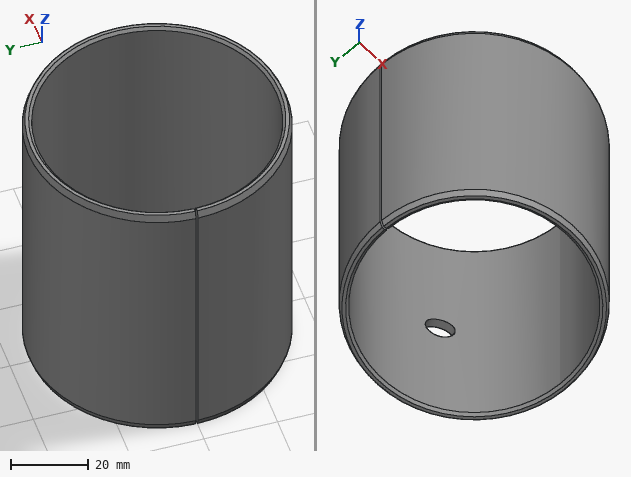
import cadquery as cq
import math

length = 80
outer_diameter = 70.0
wall = 2.5
outer_radius = outer_diameter / 2
inner_radius = outer_radius - wall

outer_chamfer_length = 2.0
outer_chamfer_angle = 20
outer_chamfer_depth = outer_chamfer_length * math.tan(math.radians(outer_chamfer_angle))
inner_chamfer = 0.8

split_width = 0.6

oil_hole_diameter = 8
oil_hole_angle = 59


def make_sleeve():
    """Revolve the wall section, with its four chamfered corners, about Z."""
    section = (
        cq.Workplane("XZ")
        .moveTo(inner_radius + inner_chamfer, 0)
        .lineTo(outer_radius - outer_chamfer_depth, 0)
        .lineTo(outer_radius, outer_chamfer_length)
        .lineTo(outer_radius, length - outer_chamfer_length)
        .lineTo(outer_radius - outer_chamfer_depth, length)
        .lineTo(inner_radius + inner_chamfer, length)
        .lineTo(inner_radius, length - inner_chamfer)
        .lineTo(inner_radius, inner_chamfer)
        .close()
    )
    return section.revolve(360, (0, 0, 0), (0, 1, 0))


def make_split():
    """Thin full-length slab, resting on the XZ plane, that parts the wall on the -X side."""
    return cq.Workplane("XY").box(
        outer_diameter, split_width, length, centered=(True, False, False)
    ).translate((-outer_radius, 0, 0))


def make_oil_hole():
    """Cylinder from the axis outward through one side of the wall."""
    return (
        cq.Workplane("YZ")
        .center(0, length / 2)
        .circle(oil_hole_diameter / 2)
        .extrude(outer_diameter)
        .rotate((0, 0, 0), (0, 0, 1), oil_hole_angle)
    )


result = make_sleeve().cut(make_split()).cut(make_oil_hole())